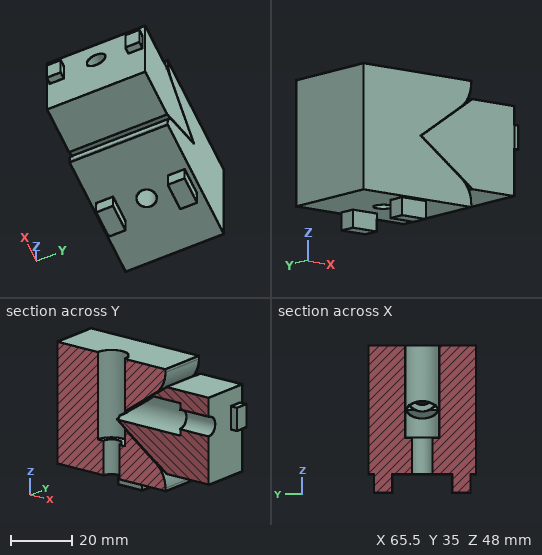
import cadquery as cq
import math

width = 35.0
wedge_slope = math.tan(math.radians(35.0))
screw_clearance_diameter = 6.6
screw_head_diameter = 11.0
seat_thickness = 12.0

base_length = 45.0
base_height = 42.0
notch_tip_x = 24.0
lip_radius = 10.0
base_screw_x = base_length / 2

foot_length = 10.0
foot_width = 6.0
foot_height = 6.0
foot_edge_gap = 1.75

jaw_height = 30.0
jaw_end_x = 63.0

tab_length = 2.5
tab_width = 5.0
tab_height = 8.0
tab_edge_gap = 1.0
tab_center_z = 26.0

mid_z = base_height / 2
jaw_shoulder_x = notch_tip_x + jaw_height / 2 / wedge_slope
foot_y = width / 2 - foot_edge_gap - foot_width / 2
tab_y = width / 2 - tab_edge_gap - tab_width / 2


def extrude_across_width(points):
    """Extrude a closed XZ outline over the full width, centred on Y = 0."""
    return cq.Workplane("XZ").polyline(points).close().extrude(width / 2, both=True)


def counterbored_screw_hole(start, direction, seat_depth, total_depth):
    """Cutter for a screw: a head bore down to its seat, then a clearance hole."""
    head = cq.Solid.makeCylinder(screw_head_diameter / 2, seat_depth, start, direction)
    shank = cq.Solid.makeCylinder(screw_clearance_diameter / 2, total_depth, start, direction)
    return head.fuse(shank)


def make_base():
    lip_rise = (base_length - notch_tip_x) * wedge_slope
    body = extrude_across_width([
        (0, 0),
        (base_length, 0),
        (base_length, mid_z - lip_rise),
        (notch_tip_x, mid_z),
        (base_length, mid_z + lip_rise),
        (base_length, base_height),
        (0, base_height),
    ])

    for lip_z in (mid_z - lip_rise, mid_z + lip_rise):
        lip_edge = cq.selectors.NearestToPointSelector((base_length, 0, lip_z))
        body = body.edges("|Y").edges(lip_edge).fillet(lip_radius)

    body = body.cut(counterbored_screw_hole(
        cq.Vector(base_screw_x, 0, base_height),
        cq.Vector(0, 0, -1),
        base_height - seat_thickness,
        base_height,
    ))

    for side in (-1, 1):
        foot = cq.Workplane("XY").box(foot_length, foot_width, foot_height)
        body = body.union(foot.translate((base_screw_x, side * foot_y, -foot_height / 2)))
    return body.solids()


def make_jaw():
    bottom_z = mid_z - jaw_height / 2
    top_z = mid_z + jaw_height / 2
    body = extrude_across_width([
        (notch_tip_x, mid_z),
        (jaw_shoulder_x, bottom_z),
        (jaw_end_x, bottom_z),
        (jaw_end_x, top_z),
        (jaw_shoulder_x, top_z),
    ])

    body = body.cut(counterbored_screw_hole(
        cq.Vector(notch_tip_x, 0, tab_center_z),
        cq.Vector(1, 0, 0),
        jaw_end_x - seat_thickness - notch_tip_x,
        jaw_end_x - notch_tip_x,
    ))

    for side in (-1, 1):
        tab = cq.Workplane("XY").box(tab_length, tab_width, tab_height)
        body = body.union(tab.translate((jaw_end_x + tab_length / 2, side * tab_y, tab_center_z)))
    return body.solids()


base = make_base()
jaw = make_jaw()

result = cq.Compound.makeCompound([base.val(), jaw.val()])